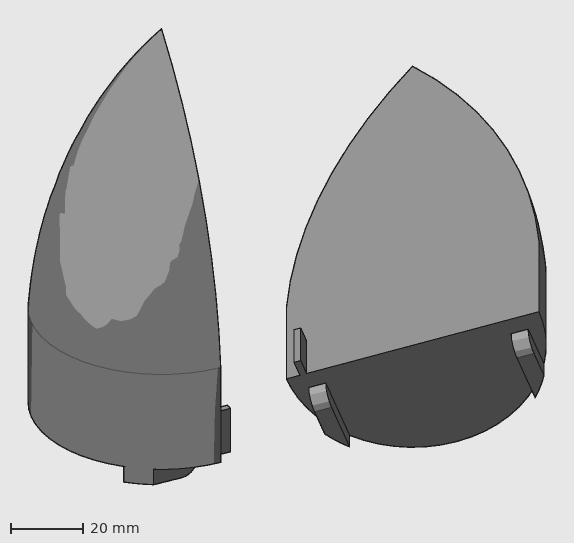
import cadquery as cq

body_radius = 37.0
shoulder_height = 30.4
tip_height = 119.5
nose_mid_radius = 27.5
nose_mid_height = 73.7

foot_height = 5.0
foot_width = 5.0
foot_offset = 29.6
foot_setback = 5.0
foot_corner_radius = 4.9

tab_width = 2.0
tab_length = 5.0
tab_height = 14.0
tab_offset = 32.0


def half_nose():
    """Cylindrical skirt and ogive nose, on the -Y side only."""
    profile = (
        cq.Workplane("XZ")
        .lineTo(body_radius, 0)
        .lineTo(body_radius, shoulder_height)
        .threePointArc((nose_mid_radius, nose_mid_height), (0, tip_height))
        .close()
    )
    return profile.revolve(180, (0, 0, 0), (0, -1, 0))


def foot(x_center):
    """Foot under the base, rounded at its inner end and trimmed to the skirt's outline."""
    block = (
        cq.Workplane("XY")
        .box(foot_width, body_radius - foot_setback, foot_height, centered=(True, False, False))
        .translate((x_center, -body_radius, -foot_height))
        .edges(">Y and <Z")
        .fillet(foot_corner_radius)
    )
    outline = cq.Workplane("XY").circle(body_radius).extrude(-foot_height)
    return block.intersect(outline)


def locating_tab():
    """Thin tab standing out from the split face, level with the base."""
    return (
        cq.Workplane("XY")
        .box(tab_width, tab_length, tab_height, centered=(True, False, False))
        .translate((tab_offset, 0, 0))
    )


result = half_nose().union(locating_tab())
for side in (-1, 1):
    result = result.union(foot(side * foot_offset))